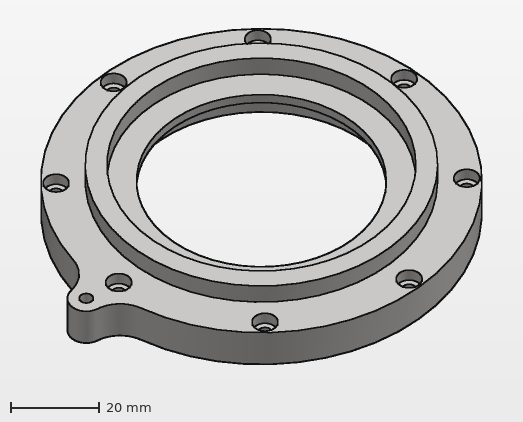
import cadquery as cq
import math

overall_length = 104.8
flange_radius = 50.0
flange_height = 10.0
ring_radius = 39.9
total_height = 15.0

upper_recess_radius = 35.0
upper_recess_depth = 5.0
bore_radius = 28.3
lip_thickness = 2.5
lower_recess_radius = 33.0

screw_count = 8
screw_circle_radius = 46.5
screw_hole_diameter = 3.1
counterbore_diameter = 5.9
counterbore_depth = 3.1

lug_radius = 4.3
lug_x = -22.7
lug_y = lug_radius + flange_radius - overall_length
lug_hole_diameter = screw_hole_diameter
blend_radius = 8.8


def point_toward(start, end, distance):
    """Point at a distance from start along the line to end."""
    ratio = distance / math.dist(start, end)
    return tuple(s + (e - s) * ratio for s, e in zip(start, end))


def arc_middle(center, start, end):
    """Middle of the blend arc running from start to end."""
    chord_middle = point_toward(start, end, math.dist(start, end) / 2)
    return point_toward(center, chord_middle, blend_radius)


def blend_center(side):
    """Center of the arc tangent to rim and lug; side is -1 (left) or 1 (right)."""
    rim_reach = flange_radius + blend_radius
    lug_reach = lug_radius + blend_radius
    lug_distance = math.hypot(lug_x, lug_y)
    cosine = (rim_reach**2 + lug_distance**2 - lug_reach**2) / (2 * rim_reach * lug_distance)
    angle = math.atan2(lug_y, lug_x) + side * math.acos(cosine)
    return rim_reach * math.cos(angle), rim_reach * math.sin(angle)


def flange_with_lug():
    axis = (0.0, 0.0)
    lug_center = (lug_x, lug_y)
    left_center = blend_center(-1)
    right_center = blend_center(1)

    left_rim = point_toward(axis, left_center, flange_radius)
    left_lug = point_toward(lug_center, left_center, lug_radius)
    right_rim = point_toward(axis, right_center, flange_radius)
    right_lug = point_toward(lug_center, right_center, lug_radius)
    left_middle = arc_middle(left_center, left_rim, left_lug)
    right_middle = arc_middle(right_center, right_rim, right_lug)
    lug_tip = point_toward(axis, lug_center, math.hypot(lug_x, lug_y) + lug_radius)
    rim_far_side = point_toward(axis, (-lug_x, -lug_y), flange_radius)

    return (
        cq.Workplane("XY")
        .moveTo(*left_rim)
        .threePointArc(left_middle, left_lug)
        .threePointArc(lug_tip, right_lug)
        .threePointArc(right_middle, right_rim)
        .threePointArc(rim_far_side, left_rim)
        .close()
        .extrude(flange_height)
    )


def cylinder(radius, bottom, top):
    return cq.Workplane("XY").workplane(offset=bottom).circle(radius).extrude(top - bottom)


body = flange_with_lug().union(cylinder(ring_radius, 0, total_height))

upper_floor = total_height - upper_recess_depth
lower_ceiling = upper_floor - lip_thickness
body = body.cut(cylinder(bore_radius, 0, total_height))
body = body.cut(cylinder(upper_recess_radius, upper_floor, total_height))
body = body.cut(cylinder(lower_recess_radius, 0, lower_ceiling))

flange_top = cq.Workplane("XY").workplane(offset=flange_height)
screw_pitch = 360 / screw_count
screw_holes = (
    flange_top
    .polarArray(screw_circle_radius, screw_pitch / 2, 360, screw_count)
    .circle(screw_hole_diameter / 2)
    .extrude(-flange_height)
)
counterbores = (
    flange_top
    .polarArray(screw_circle_radius, screw_pitch / 2, 360, screw_count)
    .circle(counterbore_diameter / 2)
    .extrude(-counterbore_depth)
)
lug_hole = flange_top.center(lug_x, lug_y).circle(lug_hole_diameter / 2).extrude(-flange_height)

result = body.cut(screw_holes).cut(counterbores).cut(lug_hole)